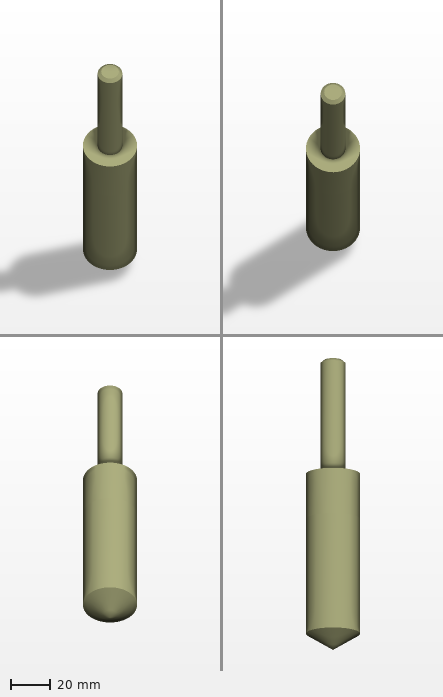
import cadquery as cq

total_height = 152.4
body_diameter = 27.7
shank_diameter = 12.6
cone_height = 8.5
joint_height = 68.7
shoulder_height = 92.5
shank_chamfer_width = 1.8
shank_chamfer_height = 1.5

body_radius = body_diameter / 2
shank_radius = shank_diameter / 2


def make_tip():
    """Cylinder with a conical point at its lower end."""
    return (
        cq.Workplane("XZ")
        .moveTo(0, 0)
        .lineTo(body_radius, cone_height)
        .lineTo(body_radius, joint_height)
        .lineTo(0, joint_height)
        .close()
        .revolve(360, (0, 0), (0, 1))
    )


def make_holder():
    """Collar resting on the tip, with a slim chamfered shank above it."""
    return (
        cq.Workplane("XZ")
        .moveTo(0, joint_height)
        .lineTo(body_radius, joint_height)
        .lineTo(body_radius, shoulder_height)
        .lineTo(shank_radius, shoulder_height)
        .lineTo(shank_radius, total_height - shank_chamfer_height)
        .lineTo(shank_radius - shank_chamfer_width, total_height)
        .lineTo(0, total_height)
        .close()
        .revolve(360, (0, joint_height), (0, joint_height + 1.5))
    )


tip = make_tip()
holder = make_holder()

result = cq.Compound.makeCompound([tip.val(), holder.val()])